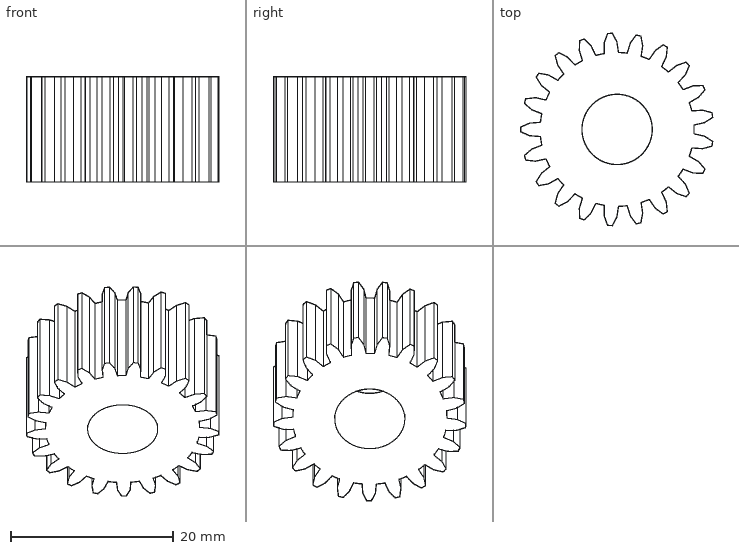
import cadquery as cq
import math

tooth_count = 21
overall_length = 23.78
face_width = 13.0
bore_diameter = 8.65

root_radius = 9.51
root_half_angle = math.radians(5.4)
shoulder_radius = 10.82
shoulder_half_angle = math.radians(4.2)
tip_half_angle = math.radians(1.45)

first_tooth_angle = math.pi
tooth_pitch = 2 * math.pi / tooth_count
tip_corner_offset = tooth_pitch / 4 - tip_half_angle
tip_radius = overall_length / 2 / math.cos(tip_corner_offset)


def polar(radius, angle):
    """Point at a radius and an angle about the gear axis."""
    return (radius * math.cos(angle), radius * math.sin(angle))


def add_tooth(outline, centre_angle):
    """Draw one tooth, from its first root corner, and the gap floor after it."""
    next_root_angle = centre_angle + tooth_pitch - root_half_angle
    gap_middle_angle = centre_angle + tooth_pitch / 2
    return (
        outline
        .lineTo(*polar(shoulder_radius, centre_angle - shoulder_half_angle))
        .lineTo(*polar(tip_radius, centre_angle - tip_half_angle))
        .lineTo(*polar(tip_radius, centre_angle + tip_half_angle))
        .lineTo(*polar(shoulder_radius, centre_angle + shoulder_half_angle))
        .lineTo(*polar(root_radius, centre_angle + root_half_angle))
        .threePointArc(
            polar(root_radius, gap_middle_angle),
            polar(root_radius, next_root_angle),
        )
    )


start_corner = polar(root_radius, first_tooth_angle - root_half_angle)
gear_outline = cq.Workplane("XY").moveTo(*start_corner)
for tooth in range(tooth_count):
    gear_outline = add_tooth(gear_outline, first_tooth_angle + tooth * tooth_pitch)
gear = gear_outline.close().extrude(face_width)

bore = cq.Workplane("XY").circle(bore_diameter / 2).extrude(face_width)

result = gear.cut(bore)